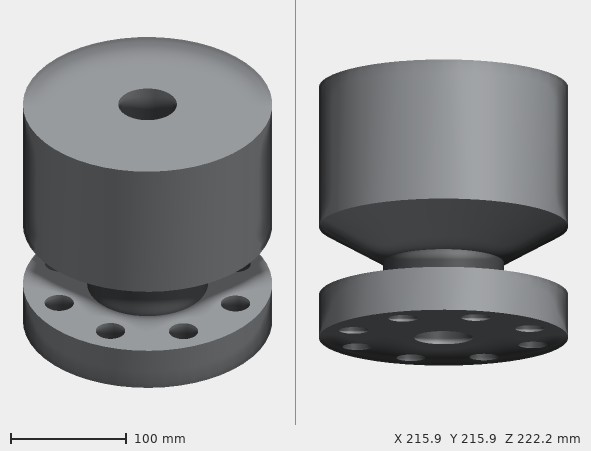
import cadquery as cq
import math

total_height = 222.25
outer_diameter = 215.9
neck_diameter = 104.6
bore_diameter = 50.8
flange_thickness = 38.1
neck_length = 28.5
cone_angle = 30.0
bolt_count = 8
bolt_circle_diameter = 165.1
bolt_hole_diameter = 25.4

outer_radius = outer_diameter / 2
neck_radius = neck_diameter / 2
bore_radius = bore_diameter / 2
neck_top = flange_thickness + neck_length
cone_height = (outer_radius - neck_radius) * math.tan(math.radians(cone_angle))
cone_top = neck_top + cone_height


def make_turned_body():
    """Flange, neck, cone and cylindrical head with a through bore, revolved about Z."""
    profile = [
        (bore_radius, 0),
        (outer_radius, 0),
        (outer_radius, flange_thickness),
        (neck_radius, flange_thickness),
        (neck_radius, neck_top),
        (outer_radius, cone_top),
        (outer_radius, total_height),
        (bore_radius, total_height),
    ]
    return cq.Workplane("XZ").polyline(profile).close().revolve(360, (0, 0, 0), (0, 1, 0))


def make_bolt_holes():
    """Evenly spaced cylinders that cut through the flange only."""
    return (
        cq.Workplane("XY")
        .polarArray(bolt_circle_diameter / 2, 0, 360, bolt_count)
        .circle(bolt_hole_diameter / 2)
        .extrude(flange_thickness)
    )


result = make_turned_body().cut(make_bolt_holes())